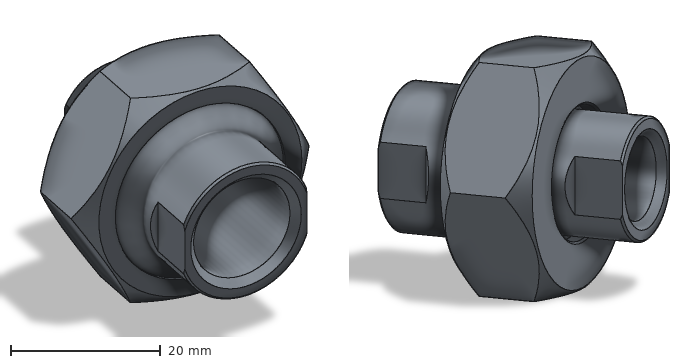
import cadquery as cq
import math


UNION_LENGTH = 35.0
NUT_START = 9.5
NUT_LENGTH = 13.5
NUT_END = NUT_START + NUT_LENGTH
NUT_WEB = 2.2
FLANGE_START = NUT_START + NUT_WEB
FLANGE_THICKNESS = 3.0
BODY_START = FLANGE_START + FLANGE_THICKNESS

HEX_ACROSS_FLATS = 32.0
HEX_ACROSS_CORNERS = HEX_ACROSS_FLATS / math.cos(math.pi / 6)
NUT_FACE_DIAMETER = 31.5
NUT_HOLE_DIAMETER = 18.5
NUT_HOLE_CHAMFER = 0.3
THREAD_DIAMETER = 26.4

TAIL_DIAMETER = 17.0
TAIL_BORE = 11.45
TAIL_FLANGE_DIAMETER = 23.5
TAIL_FLATS_WIDTH = 15.0
TAIL_FILLET = 0.4

BODY_DIAMETER = 20.5
BODY_BORE = 14.95
BODY_FLATS_WIDTH = 19.0
BODY_FILLET = 0.5
BODY_SHOULDER_END = 25.4

END_CHAMFER = 0.3
BORE_CHAMFER = 1.1
FLATS_LENGTH = 7.0
CUTTER_OVERSHOOT = 1.0


def revolve_about_x(outline):
    """Turn a closed outline in (x, radius) about the X axis."""
    return outline.close().revolve(360, (0, 0, 0), (1, 0, 0))


def cylinder_along_x(diameter, start, end):
    return cq.Workplane("YZ", origin=(start, 0, 0)).circle(diameter / 2).extrude(end - start)


def wrench_flat_cutters(diameter, flats_width, end_x, inward):
    """Cutters for two flats across Y, open at end_x and run out at 45 degrees.

    inward is +1 or -1: the X direction from the open end into the part.
    """
    flat_y = flats_width / 2
    outer_y = diameter / 2 + CUTTER_OVERSHOOT
    flat_end = end_x + inward * FLATS_LENGTH
    runout_end = flat_end + inward * (outer_y - flat_y)
    cutter = (
        cq.Workplane("XY")
        .moveTo(end_x, flat_y)
        .lineTo(flat_end, flat_y)
        .lineTo(runout_end, outer_y)
        .lineTo(end_x, outer_y)
        .close()
        .extrude(diameter / 2, both=True)
    )
    return cutter.union(cutter.mirror("XZ"))


def make_nut():
    hexagon = (
        cq.Workplane("YZ", origin=(NUT_START, 0, 0))
        .polygon(6, HEX_ACROSS_CORNERS)
        .extrude(NUT_LENGTH)
    )
    corner_chamfer = (HEX_ACROSS_CORNERS - NUT_FACE_DIAMETER) / 2
    blank = cylinder_along_x(HEX_ACROSS_CORNERS, NUT_START, NUT_END).edges().chamfer(corner_chamfer)

    hole_radius = NUT_HOLE_DIAMETER / 2
    thread_radius = THREAD_DIAMETER / 2
    opening = revolve_about_x(
        cq.Workplane("XY")
        .moveTo(NUT_START, 0)
        .lineTo(NUT_START, hole_radius + NUT_HOLE_CHAMFER)
        .lineTo(NUT_START + NUT_HOLE_CHAMFER, hole_radius)
        .lineTo(FLANGE_START, hole_radius)
        .lineTo(FLANGE_START, thread_radius)
        .lineTo(NUT_END, thread_radius)
        .lineTo(NUT_END, 0)
    )
    return hexagon.intersect(blank).cut(opening)


def make_tail():
    radius = TAIL_DIAMETER / 2
    bore_radius = TAIL_BORE / 2
    flange_radius = TAIL_FLANGE_DIAMETER / 2
    fillet_middle = TAIL_FILLET * (1 - math.sqrt(0.5))
    tail = revolve_about_x(
        cq.Workplane("XY")
        .moveTo(0, bore_radius + BORE_CHAMFER)
        .lineTo(0, radius - END_CHAMFER)
        .lineTo(END_CHAMFER, radius)
        .lineTo(FLANGE_START - TAIL_FILLET, radius)
        .threePointArc(
            (FLANGE_START - fillet_middle, radius + fillet_middle),
            (FLANGE_START, radius + TAIL_FILLET),
        )
        .lineTo(FLANGE_START, flange_radius)
        .lineTo(BODY_START, flange_radius)
        .lineTo(BODY_START, bore_radius)
        .lineTo(BORE_CHAMFER, bore_radius)
    )
    return tail.cut(wrench_flat_cutters(TAIL_DIAMETER, TAIL_FLATS_WIDTH, 0, 1))


def make_body():
    radius = BODY_DIAMETER / 2
    bore_radius = BODY_BORE / 2
    thread_radius = THREAD_DIAMETER / 2
    shoulder_start = BODY_SHOULDER_END - (thread_radius - radius)

    tangent_length = BODY_FILLET * math.tan(math.pi / 8)
    shoulder_tangent = tangent_length * math.sqrt(0.5)
    fillet_end = BODY_SHOULDER_END + tangent_length
    middle_x = fillet_end - BODY_FILLET * math.sin(math.pi / 8)
    middle_radius = radius + BODY_FILLET * (1 - math.cos(math.pi / 8))

    body = revolve_about_x(
        cq.Workplane("XY")
        .moveTo(BODY_START, bore_radius)
        .lineTo(BODY_START, thread_radius)
        .lineTo(shoulder_start, thread_radius)
        .lineTo(BODY_SHOULDER_END - shoulder_tangent, radius + shoulder_tangent)
        .threePointArc((middle_x, middle_radius), (fillet_end, radius))
        .lineTo(UNION_LENGTH - END_CHAMFER, radius)
        .lineTo(UNION_LENGTH, radius - END_CHAMFER)
        .lineTo(UNION_LENGTH, bore_radius + BORE_CHAMFER)
        .lineTo(UNION_LENGTH - BORE_CHAMFER, bore_radius)
    )
    return body.cut(wrench_flat_cutters(BODY_DIAMETER, BODY_FLATS_WIDTH, UNION_LENGTH, -1))


nut = make_nut()
tail = make_tail()
body = make_body()

result = cq.Compound.makeCompound([nut.val(), tail.val(), body.val()])